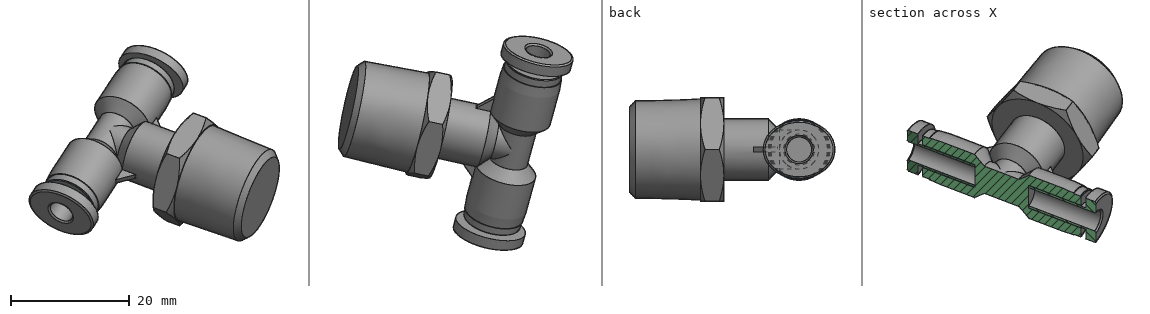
import cadquery as cq
import math

barrel_radius = 5.195
neck_radius = 3.3
branch_end = 12.67
taper_start = 11.87
taper_end = 13.8
taper_radius = 5.05
mouth_radius = 9.8 / 2
mouth_end = 15.2
mouth_chamfer = 0.15
web_diagonal = 12.9
web_root = 3.62
web_thickness = 0.9

stem_radius = 5.2 / 2
bore_radius = 4.2 / 2
bore_chamfer = 0.3
collet_end = 18.1
button_thickness = 2.05
button_half_width = 6.05
button_half_height = 9.8 / 2
button_edge_inset = 0.33
button_edge_depth = 0.2
stem_seat = barrel_radius

hex_flats = 17.45
hex_thickness = 3.95
hex_chamfer_angle = 30.0
stud_end = 28.55
thread_root_radius = 8.55
thread_tip_radius = 8.2
thread_chamfer = 1.0

SIDES = (1, -1)


def make_run():
    """Run along Y: central neck, 45 degree shoulders, barrels and tapered mouths."""
    upper_outline = [
        (neck_radius, neck_radius),
        (barrel_radius, barrel_radius),
        (barrel_radius, taper_start),
        (taper_radius, taper_end),
        (mouth_radius, taper_end),
        (mouth_radius, mouth_end - mouth_chamfer),
        (mouth_radius - mouth_chamfer, mouth_end),
        (0, mouth_end),
    ]
    lower_outline = [(radius, -y) for radius, y in reversed(upper_outline)]
    profile = lower_outline + upper_outline
    return cq.Workplane("XY").polyline(profile).close().revolve(360, (0, 0), (0, 1))


def make_branch():
    """Branch with the same neck and shoulder as the run."""
    profile = [
        (0, 0),
        (0, neck_radius),
        (neck_radius, neck_radius),
        (barrel_radius, barrel_radius),
        (branch_end, barrel_radius),
        (branch_end, 0),
    ]
    return cq.Workplane("XY").polyline(profile).close().revolve(360, (0, 0), (1, 0))


def make_mitre_wedge():
    """Quarter sector around +X, bounded by the two 45 degree planes between run and branch."""
    corners = [(0, 0), (branch_end, -branch_end), (branch_end, branch_end)]
    return cq.Workplane("XY").polyline(corners).close().extrude(2 * barrel_radius, both=True)


def make_web(side):
    """Thin triangular web in the corner between run and branch, rooted inside both."""
    tip = web_diagonal - web_root
    corners = [
        (web_root, side * web_root),
        (tip, side * web_root),
        (web_root, side * tip),
    ]
    return cq.Workplane("XY").polyline(corners).close().extrude(web_thickness / 2, both=True)


def make_collet_recess(side):
    """Cylinder removed from the barrel to seat a collet stem."""
    return (
        cq.Workplane("XZ", origin=(0, side * stem_seat, 0))
        .circle(stem_radius)
        .extrude(-side * (mouth_end - stem_seat))
    )


def make_tee():
    wedge = make_mitre_wedge()
    tee = make_run().cut(wedge).union(make_branch().intersect(wedge))
    for side in SIDES:
        tee = tee.union(make_web(side)).cut(make_collet_recess(side))
    return tee


def make_collet(side):
    """Release collet: oval button on a round stem, bored through."""
    button_start = collet_end - button_thickness
    edge_start = collet_end - button_edge_depth
    button = (
        cq.Workplane("XZ", origin=(0, side * button_start, 0))
        .ellipse(button_half_width, button_half_height)
        .extrude(-side * (edge_start - button_start))
    )
    edge = (
        cq.Workplane("XZ", origin=(0, side * edge_start, 0))
        .ellipse(button_half_width, button_half_height)
        .workplane(offset=-side * button_edge_depth)
        .ellipse(button_half_width - button_edge_inset, button_half_height - button_edge_inset)
        .loft(ruled=True)
    )
    stem = (
        cq.Workplane("XZ", origin=(0, side * stem_seat, 0))
        .circle(stem_radius)
        .extrude(-side * (button_start - stem_seat))
    )
    bore_profile = [
        (0, side * stem_seat),
        (bore_radius, side * stem_seat),
        (bore_radius, side * (collet_end - bore_chamfer)),
        (bore_radius + bore_chamfer, side * collet_end),
        (0, side * collet_end),
    ]
    bore = cq.Workplane("XY").polyline(bore_profile).close().revolve(360, (0, 0), (0, 1))
    return button.union(edge).union(stem).cut(bore)


def make_hexagon():
    """Hexagon with flats facing +Z and -Z, corners chamfered at both ends."""
    face_radius = hex_flats / 2
    corner_radius = face_radius / math.cos(math.radians(30))
    chamfer_depth = (corner_radius - face_radius) * math.tan(math.radians(hex_chamfer_angle))
    hex_end = branch_end + hex_thickness
    prism = (
        cq.Workplane("YZ", origin=(branch_end, 0, 0))
        .polygon(6, 2 * corner_radius)
        .extrude(hex_thickness)
    )
    turned_profile = [
        (branch_end, 0),
        (branch_end, face_radius),
        (branch_end + chamfer_depth, corner_radius),
        (hex_end - chamfer_depth, corner_radius),
        (hex_end, face_radius),
        (hex_end, 0),
    ]
    turned = cq.Workplane("XY").polyline(turned_profile).close().revolve(360, (0, 0), (1, 0))
    return prism.intersect(turned)


def make_stud():
    """Hexagon with a tapered thread blank, chamfered at its tip."""
    thread_start = branch_end + hex_thickness
    profile = [
        (thread_start, 0),
        (thread_start, thread_root_radius),
        (stud_end - thread_chamfer, thread_tip_radius),
        (stud_end, thread_tip_radius - thread_chamfer),
        (stud_end, 0),
    ]
    thread = cq.Workplane("XY").polyline(profile).close().revolve(360, (0, 0), (1, 0))
    return make_hexagon().union(thread)


tee = make_tee()
stud = make_stud()
collets = [make_collet(side) for side in SIDES]

result = cq.Compound.makeCompound([tee.val(), stud.val(), *[collet.val() for collet in collets]])